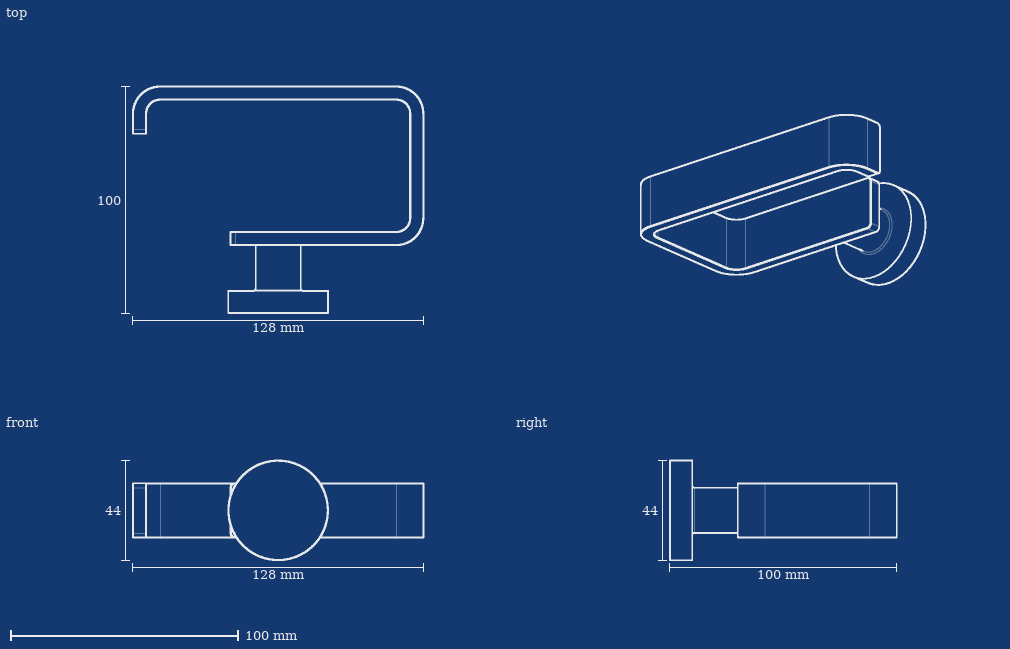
import cadquery as cq

length = 128.0
loop_depth = 70.0
strip_thickness = 6.0
strip_height = 24.0
outer_bend_radius = 12.0
inner_bend_radius = outer_bend_radius - strip_thickness
hook_length = 21.0
arm_start = 43.0
tip_corner_radius = 2.0

edge_break = 0.3

knob_x = length / 2
knob_diameter = 44.0
knob_thickness = 10.0
stem_diameter = 20.0
stem_length = 20.0
stem_root_round = 0.8

stem_front = knob_thickness
arm_front = stem_front + stem_length
loop_back = arm_front + loop_depth
hook_end = loop_back - hook_length
select_margin = 1.3


def make_strip():
    """Hook, back, side and front arm of the bent strip, centred on Z = 0."""
    outer = (
        cq.Workplane("XY")
        .box(length, loop_depth, strip_height, centered=(False, False, True))
        .edges("|Z")
        .fillet(outer_bend_radius)
    )
    inner = (
        cq.Workplane("XY")
        .box(
            length - 2 * strip_thickness,
            loop_depth - 2 * strip_thickness,
            strip_height,
            centered=(False, False, True),
        )
        .edges("|Z")
        .fillet(inner_bend_radius)
        .translate((strip_thickness, strip_thickness, 0))
    )
    opening = cq.Workplane("XY").box(
        arm_start, loop_depth - hook_length, strip_height, centered=(False, False, True)
    )
    strip = outer.cut(inner).cut(opening).translate((0, arm_front, 0))

    hook_tip = cq.selectors.BoxSelector(
        (-select_margin, hook_end - select_margin, -strip_height),
        (strip_thickness + select_margin, hook_end + select_margin, strip_height),
    )
    arm_tip = cq.selectors.BoxSelector(
        (arm_start - select_margin, arm_front - select_margin, -strip_height),
        (arm_start + select_margin, arm_front + strip_thickness + select_margin, strip_height),
    )
    strip = strip.edges(hook_tip).edges("|X").fillet(tip_corner_radius)
    strip = strip.edges(arm_tip).edges("|Y").fillet(tip_corner_radius)
    rims = strip.faces(">Z").edges("|X").edges(">>Y or >>Y[-2]")
    return rims.chamfer(edge_break)


def cylinder_along_y(diameter, start, depth):
    """Cylinder on the knob axis, growing towards +Y from start."""
    return (
        cq.Workplane("XZ", origin=(knob_x, start, 0)).circle(diameter / 2).extrude(-depth)
    )


def make_knob():
    knob = cylinder_along_y(knob_diameter, 0, knob_thickness)
    knob = knob.faces("<Y").edges().chamfer(edge_break)
    stem = cylinder_along_y(stem_diameter, stem_front, stem_length)
    knob = knob.union(stem)
    disc_back = knob.faces(cq.selectors.BoxSelector(
        (knob_x - knob_diameter, stem_front - stem_root_round, -knob_diameter),
        (knob_x + knob_diameter, stem_front + stem_root_round, knob_diameter),
        boundingbox=True,
    ))
    root = disc_back.edges(cq.selectors.RadiusNthSelector(0))
    return root.fillet(stem_root_round)


result = make_strip().union(make_knob())